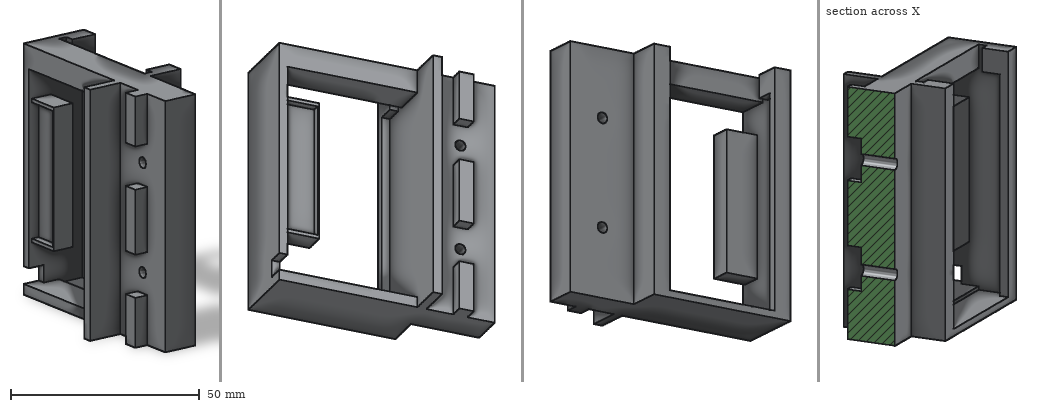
import cadquery as cq

total_width = 62.7
height = 70
frame_width = 42.85
frame_depth = 20.0
plate_depth = 10.0
wall = 2.4
top_bar_height = 6.6
floor_height = 3.0

flange_thickness = 2.65
flange_reach = 10.0
channel_right = frame_width - flange_thickness
left_lip_width = 2.65
right_lip_width = 2.4
upper_lip_thickness = 7.6
lower_lip_thickness = 2.4
channel_floor = 2.0

rib_width = 4.2
rib_reach = 4.0
rib_center_x = 52.7
end_rib_length = 13.9
middle_rib_length = 18.1
middle_rib_center = height / 2
hole_diameter = 3.0
hole_spacing = 30.6
hole_center_z = height / 2

box_right = 12.05
box_front = 1.0
box_back = 7.3
box_bottom = 15.0
box_top = 55.0
box_rim = 1.05
box_side_rim = 0.5
box_pocket_depth = 2.25

notch_depth = 5.0
notch_top = 7.9


def block(x0, x1, y0, y1, z0, z1):
    """Box between two opposite corners."""
    return cq.Workplane("XY").box(x1 - x0, y1 - y0, z1 - z0, centered=False).translate((x0, y0, z0))


def make_frame():
    body = block(0, frame_width, 0, frame_depth, 0, height)
    bar_underside = height - top_bar_height
    window = block(wall, channel_right, 0, plate_depth, floor_height, bar_underside)
    upper_back = frame_depth - upper_lip_thickness
    lower_back = frame_depth - lower_lip_thickness
    upper_channel = block(wall, channel_right, plate_depth, upper_back, channel_floor, height)
    lower_channel = block(wall, channel_right, plate_depth, lower_back, channel_floor, bar_underside)
    rear_opening = block(
        wall + left_lip_width,
        channel_right - right_lip_width,
        plate_depth,
        frame_depth,
        channel_floor,
        height,
    )
    notch = block(0, wall, 0, notch_depth, floor_height, notch_top)
    for opening in (window, upper_channel, lower_channel, rear_opening, notch):
        body = body.cut(opening)
    return body


def make_flange():
    return block(channel_right, frame_width, -flange_reach, plate_depth, 0, height)


def make_mounting_plate():
    plate = block(frame_width, total_width, 0, plate_depth, 0, height)
    middle_rib_bottom = middle_rib_center - middle_rib_length / 2
    rib_spans = [
        (0, end_rib_length),
        (middle_rib_bottom, middle_rib_bottom + middle_rib_length),
        (height - end_rib_length, height),
    ]
    rib_left = rib_center_x - rib_width / 2
    for bottom, top in rib_spans:
        plate = plate.union(block(rib_left, rib_left + rib_width, -rib_reach, 0, bottom, top))
    for side in (-1, 1):
        hole_z = hole_center_z + side * hole_spacing / 2
        hole = (
            cq.Workplane("XZ")
            .center(rib_center_x, hole_z)
            .circle(hole_diameter / 2)
            .extrude(-plate_depth)
        )
        plate = plate.cut(hole)
    return plate


def make_wall_box():
    shell = block(wall, box_right, box_front, box_back, box_bottom, box_top)
    pocket = block(
        wall,
        box_right - box_side_rim,
        box_front,
        box_front + box_pocket_depth,
        box_bottom + box_rim,
        box_top - box_rim,
    )
    return shell.cut(pocket)


result = make_frame().union(make_flange()).union(make_mounting_plate()).union(make_wall_box())